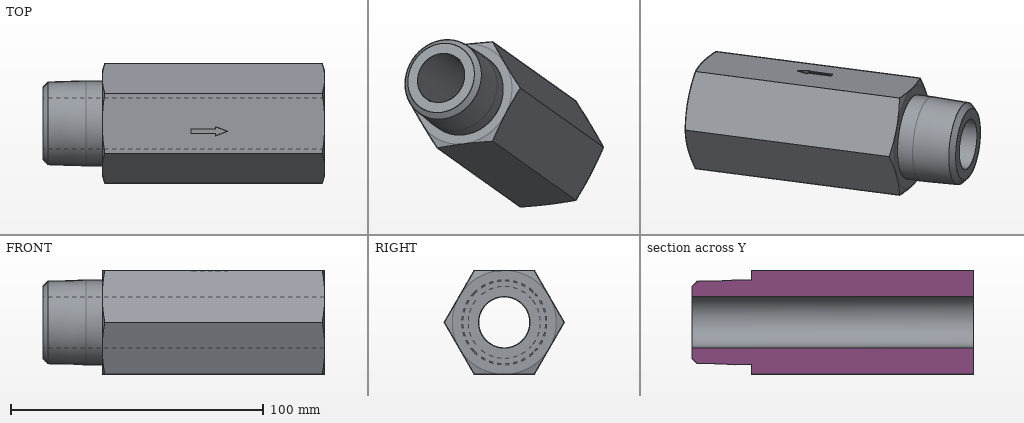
import cadquery as cq
import math

length = 111.8
across_corners = 47.6
across_flats = across_corners * math.cos(math.pi / 6)

neck_length = 23.6
taper_end = 17.2
neck_diameter = 33.8
taper_ratio = 1 / 16
neck_chamfer = 2.1

corner_chamfer_length = 1.0

bore_diameter = 20.2

arrow_tail = 58.7
arrow_length = 14.5
arrow_head_length = 4.7
arrow_shaft_width = 1.7
arrow_head_width = 3.6
arrow_y = -3.1
arrow_depth = 0.2


def hexagonal_body():
    """Hexagonal bar with flats facing +Z and -Z and corners turned down at both ends."""
    bar = (
        cq.Workplane("YZ", origin=(neck_length, 0, 0))
        .polygon(6, across_corners)
        .extrude(length - neck_length)
    )
    face_radius = across_flats / 2
    corner_radius = across_corners / 2
    turned_envelope = (
        cq.Workplane("XY")
        .moveTo(neck_length, 0)
        .lineTo(neck_length, face_radius)
        .lineTo(neck_length + corner_chamfer_length, corner_radius)
        .lineTo(length - corner_chamfer_length, corner_radius)
        .lineTo(length, face_radius)
        .lineTo(length, 0)
        .close()
        .revolve(360, (0, 0, 0), (1, 0, 0))
    )
    return bar.intersect(turned_envelope)


def neck():
    """Round neck whose tapered stretch ends in a 45 degree chamfer."""
    collar_radius = neck_diameter / 2
    taper_drop = (taper_end - neck_chamfer) * taper_ratio / 2
    small_radius = collar_radius - taper_drop
    return (
        cq.Workplane("XY")
        .lineTo(0, small_radius - neck_chamfer)
        .lineTo(neck_chamfer, small_radius)
        .lineTo(taper_end, collar_radius)
        .lineTo(neck_length, collar_radius)
        .lineTo(neck_length, 0)
        .close()
        .revolve(360, (0, 0, 0), (1, 0, 0))
    )


def flow_arrow():
    """Cutter for the shallow flow arrow in the top flat."""
    head_start = arrow_length - arrow_head_length
    half_shaft = arrow_shaft_width / 2
    half_head = arrow_head_width / 2
    return (
        cq.Workplane("XY", origin=(arrow_tail, arrow_y, across_flats / 2))
        .moveTo(0, -half_shaft)
        .lineTo(head_start, -half_shaft)
        .lineTo(head_start, -half_head)
        .lineTo(arrow_length, 0)
        .lineTo(head_start, half_head)
        .lineTo(head_start, half_shaft)
        .lineTo(0, half_shaft)
        .close()
        .extrude(-arrow_depth)
    )


bore = cq.Workplane("YZ").circle(bore_diameter / 2).extrude(length)

result = hexagonal_body().union(neck()).cut(bore).cut(flow_arrow())